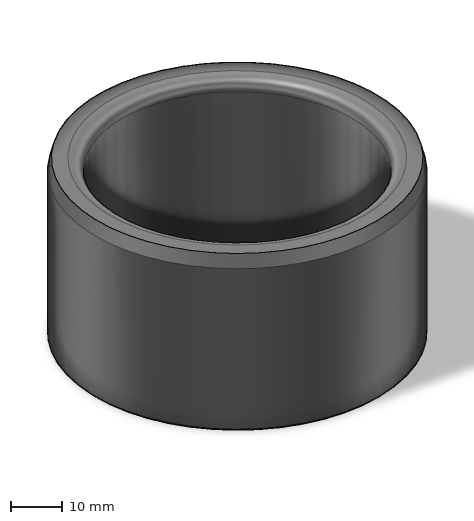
import cadquery as cq
import math

outer_diameter = 74.0
bore_diameter = 60.0
height = 40.0
lead_in_height = 3.0
lead_in_angle = 15.0
bore_edge_radius = 3.0
bottom_chamfer = 0.5

outer_radius = outer_diameter / 2
bore_radius = bore_diameter / 2
lead_in_width = lead_in_height * math.tan(math.radians(lead_in_angle))


def bushing_section():
    """Closed half section of the bushing: local x is the radius, local y is the height."""
    face_inner_radius = bore_radius + bore_edge_radius
    round_mid_offset = bore_edge_radius * (1 - math.sqrt(0.5))
    round_mid_radius = bore_radius + round_mid_offset
    return (
        cq.Workplane("XZ")
        .moveTo(face_inner_radius, 0)
        .lineTo(outer_radius - bottom_chamfer, 0)
        .lineTo(outer_radius, bottom_chamfer)
        .lineTo(outer_radius, height - lead_in_height)
        .lineTo(outer_radius - lead_in_width, height)
        .lineTo(face_inner_radius, height)
        .threePointArc(
            (round_mid_radius, height - round_mid_offset),
            (bore_radius, height - bore_edge_radius),
        )
        .lineTo(bore_radius, bore_edge_radius)
        .threePointArc(
            (round_mid_radius, round_mid_offset),
            (face_inner_radius, 0),
        )
        .close()
    )


result = bushing_section().revolve(360, (0, 0, 0), (0, 1, 0))